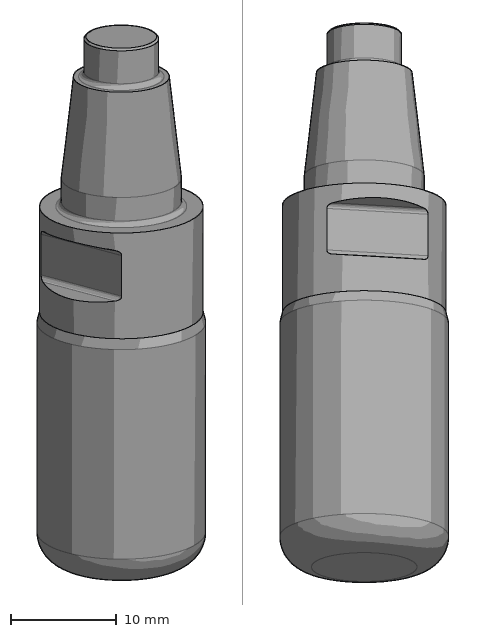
import cadquery as cq
import math

total_height = 52.6

grip_radius = 8.0
grip_height = 25.0
foot_fillet = 3.0
grip_bevel_height = 1.0
grip_top_radius = 7.75

collar_radius = 7.75
pin_height = 4.0
pin_radius = 3.55
pin_chamfer = 0.2
nose_height = 17.0
root_fillet = 0.5
taper_height = 10.15
taper_top_radius = 4.55
neck_radius = 5.7

collar_top = total_height - nose_height
pin_base = total_height - pin_height
taper_bottom = pin_base - taper_height

flat_distance = 6.0
flat_width = 4.85
flat_center_below_collar_top = 4.3
flat_flare_angle = 15.0
flat_corner_fillet = 0.5
flat_center = collar_top - flat_center_below_collar_top


def make_grip():
    profile = (
        cq.Workplane("XZ")
        .lineTo(grip_radius - foot_fillet, 0)
        .radiusArc((grip_radius, foot_fillet), -foot_fillet)
        .lineTo(grip_radius, grip_height - grip_bevel_height)
        .lineTo(grip_top_radius, grip_height)
        .lineTo(0, grip_height)
        .close()
    )
    return profile.revolve(360, (0, 0), (0, 1))


def make_flat_cutter():
    """Trapezoid groove on the -Y side, running along X."""
    outer_distance = grip_radius
    half_floor = flat_width / 2
    flare = (outer_distance - flat_distance) * math.tan(math.radians(flat_flare_angle))
    half_mouth = half_floor + flare
    return (
        cq.Workplane("YZ")
        .moveTo(-flat_distance, flat_center - half_floor)
        .lineTo(-flat_distance, flat_center + half_floor)
        .lineTo(-outer_distance, flat_center + half_mouth)
        .lineTo(-outer_distance, flat_center - half_mouth)
        .close()
        .extrude(collar_radius, both=True)
        .edges("|X and >Y")
        .fillet(flat_corner_fillet)
    )


def make_spindle():
    profile = (
        cq.Workplane("XZ")
        .moveTo(0, grip_height)
        .lineTo(collar_radius, grip_height)
        .lineTo(collar_radius, collar_top)
        .lineTo(neck_radius + root_fillet, collar_top)
        .radiusArc((neck_radius, collar_top + root_fillet), root_fillet)
        .lineTo(neck_radius, taper_bottom)
        .lineTo(taper_top_radius, pin_base)
        .lineTo(pin_radius + root_fillet, pin_base)
        .radiusArc((pin_radius, pin_base + root_fillet), root_fillet)
        .lineTo(pin_radius, total_height - pin_chamfer)
        .lineTo(pin_radius - pin_chamfer, total_height)
        .lineTo(0, total_height)
        .close()
    )
    spindle = profile.revolve(360, (0, 0), (0, 1))
    for angle in (0, 180):
        spindle = spindle.cut(make_flat_cutter().rotate((0, 0, 0), (0, 0, 1), angle))
    return spindle


grip = make_grip()
spindle = make_spindle()
result = cq.Compound.makeCompound([grip.val(), spindle.val()])